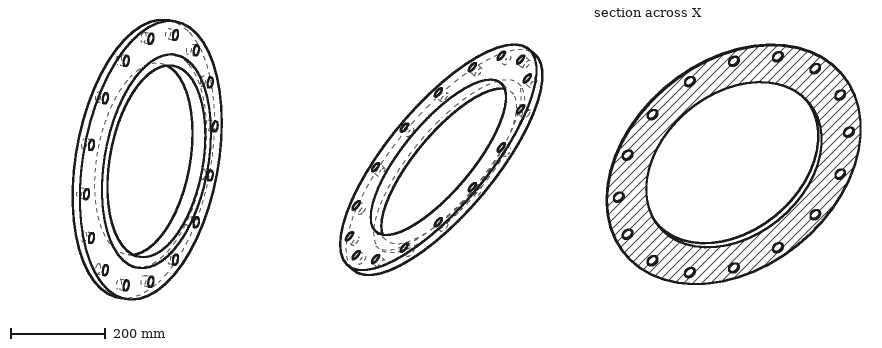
import cadquery as cq

outer_diameter = 597.0
bore_diameter = 410.5
flange_thickness = 18.0
total_thickness = 31.5
collar_diameter = 458.0
collar_fillet_radius = 7.0
bolt_circle_diameter = 540.0
bolt_hole_diameter = 22.0
bolt_hole_count = 16


def ring_body():
    """Flange plate and collar, revolved about X with a fillet at the collar root."""
    bore_radius = bore_diameter / 2
    outer_radius = outer_diameter / 2
    collar_radius = collar_diameter / 2
    profile = (
        cq.Workplane("XY")
        .moveTo(0, bore_radius)
        .lineTo(0, outer_radius)
        .lineTo(flange_thickness, outer_radius)
        .lineTo(flange_thickness, collar_radius + collar_fillet_radius)
        .radiusArc((flange_thickness + collar_fillet_radius, collar_radius), -collar_fillet_radius)
        .lineTo(total_thickness, collar_radius)
        .lineTo(total_thickness, bore_radius)
        .close()
    )
    return profile.revolve(360, (0, 0, 0), (1, 0, 0))


def bolt_holes():
    """Cylinders for the equally spaced through holes, the first one on the Y axis."""
    return (
        cq.Workplane("YZ")
        .polarArray(bolt_circle_diameter / 2, 0, 360, bolt_hole_count)
        .circle(bolt_hole_diameter / 2)
        .extrude(flange_thickness)
    )


result = ring_body().cut(bolt_holes())